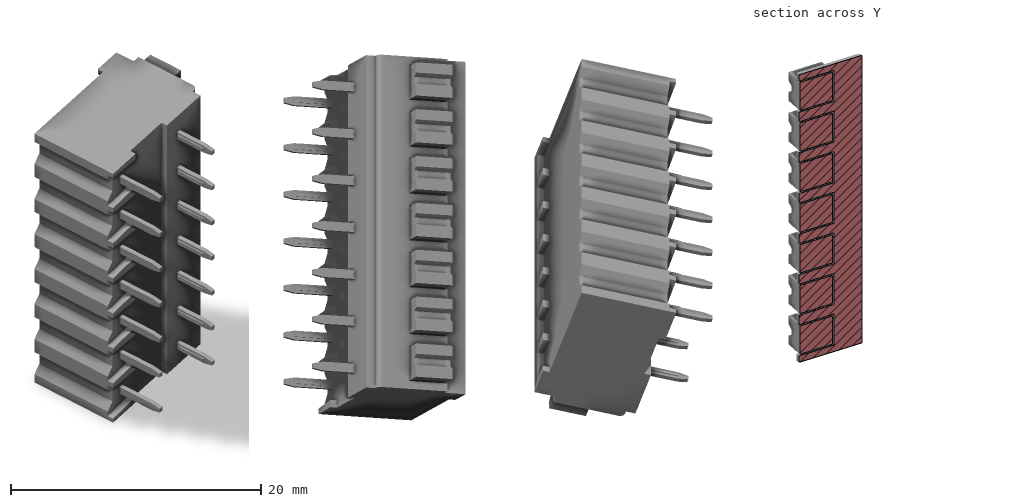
import cadquery as cq
import math

height = 27.05
pole_count = 7
pole_pitch = 3.82
pole_heights = [height / 2 + (i - (pole_count - 1) / 2) * pole_pitch for i in range(pole_count)]

rail_thickness = 0.55
foot_height = 0.55
foot_face = 8.42
floor_face = foot_face - foot_height
housing_depth = 11.58
front_foot_depth = 3.0
rear_foot_start = 7.15

step_depth = 12.2
step_left = 1.73
step_right = 7.63
step_corner_radius = 0.43

rail_start = 9.12
rail_slot_end = 10.6
rail_slot_width = 3.03

groove_depth = 0.65
groove_floor_width = 1.08
groove_mouth_width = groove_floor_width + 2 * groove_depth

pocket_mouth_width = 3.3
pocket_end_width = 2.98

button_tip = 13.65
button_left = 1.85
button_right = 4.9
button_width = 2.7
button_clearance = 0.08
notch_depth = 0.45
notch_mouth_width = 1.03
notch_floor_width = 0.51

pin_tip = 11.9
pin_taper_start = 11.1
pin_width = 0.73
pin_tip_width = 0.4
pin_thickness = 0.35
front_pin_y = 1.73
rear_pin_y = 8.65
ridge_start = 8.52
ridge_width = 0.27
ridge_height = 0.08


def box(x_range, y_range, z_range):
    """Box between the given limits along each axis."""
    size = [high - low for low, high in (x_range, y_range, z_range)]
    corner = (x_range[0], y_range[0], z_range[0])
    return cq.Workplane("XY").box(*size, centered=False).translate(corner)


def span(center, width):
    """Lower and upper limit of a width centred on a position."""
    return center - width / 2, center + width / 2


def trapezoid_channel(x_range, z, mouth_y, mouth_width, floor_y, floor_width):
    """Prism along X whose width in Z changes from mouth_y to floor_y."""
    mouth_low, mouth_high = span(z, mouth_width)
    floor_low, floor_high = span(z, floor_width)
    outline = [(mouth_y, mouth_low), (mouth_y, mouth_high), (floor_y, floor_high), (floor_y, floor_low)]
    length = x_range[1] - x_range[0]
    return cq.Workplane("YZ", origin=(x_range[0], 0, 0)).polyline(outline).close().extrude(length)


def housing_profile():
    """Housing with hook rail, two feet and rear step, extruded over the full height."""
    arc_offset = step_corner_radius * (1 - math.sqrt(0.5))
    return (
        cq.Workplane("XY")
        .moveTo(rail_thickness, 0)
        .lineTo(foot_face, 0)
        .lineTo(foot_face, front_foot_depth)
        .lineTo(floor_face, front_foot_depth)
        .lineTo(floor_face, rear_foot_start)
        .lineTo(foot_face, rear_foot_start)
        .lineTo(foot_face, housing_depth)
        .lineTo(step_right, housing_depth)
        .lineTo(step_right, step_depth - step_corner_radius)
        .threePointArc(
            (step_right - arc_offset, step_depth - arc_offset),
            (step_right - step_corner_radius, step_depth),
        )
        .lineTo(step_left, step_depth)
        .lineTo(step_left, housing_depth)
        .lineTo(0, housing_depth)
        .lineTo(0, rail_start)
        .lineTo(rail_thickness, rail_start)
        .close()
        .extrude(height)
    )


def pole_cuts(z):
    """Groove, pin pocket, rail slot and button window of one pole."""
    groove = trapezoid_channel(
        (rail_thickness, foot_face), z, 0, groove_mouth_width, groove_depth, groove_floor_width
    )
    pocket = trapezoid_channel(
        (floor_face, foot_face), z, 0, pocket_mouth_width, front_foot_depth, pocket_end_width
    )
    slot = box((0, rail_thickness), (rail_start, rail_slot_end), span(z, rail_slot_width))
    window = box(
        (step_left, button_right + button_clearance),
        (housing_depth, step_depth),
        span(z, button_width + 2 * button_clearance),
    )
    return [groove, pocket, slot, window]


def button(z):
    """Block standing on the window floor, with a notch across its tip."""
    x_range = (button_left, button_right)
    block = box(x_range, (housing_depth, button_tip), span(z, button_width))
    notch = trapezoid_channel(
        x_range, z, button_tip, notch_mouth_width, button_tip - notch_depth, notch_floor_width
    )
    return block.cut(notch)


def pin(y, z, ridge_side):
    """Flat pin with a tapered tip and a ridge on its +Y (1) or -Y (-1) face."""
    low, high = span(z, pin_width)
    tip_low, tip_high = span(z, pin_tip_width)
    outline = [
        (floor_face, low),
        (pin_taper_start, low),
        (pin_tip, tip_low),
        (pin_tip, tip_high),
        (pin_taper_start, high),
        (floor_face, high),
    ]
    blade = (
        cq.Workplane("XZ", origin=(0, y, 0))
        .polyline(outline)
        .close()
        .extrude(pin_thickness / 2, both=True)
    )
    ridge_center = y + ridge_side * pin_thickness / 2
    ridge = box(
        (ridge_start, pin_taper_start), span(ridge_center, 2 * ridge_height), span(z, ridge_width)
    )
    return blade.union(ridge)


result = housing_profile()
for pole_z in pole_heights:
    for cutter in pole_cuts(pole_z):
        result = result.cut(cutter)
for pole_z in pole_heights:
    result = result.union(button(pole_z))
    result = result.union(pin(front_pin_y, pole_z, 1))
    result = result.union(pin(rear_pin_y, pole_z, -1))